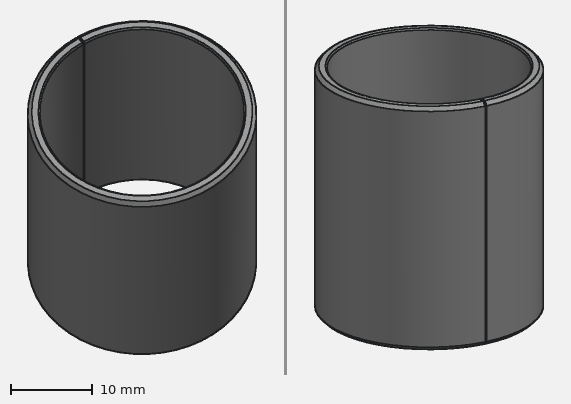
import cadquery as cq

outer_diameter = 28.0
wall_thickness = 1.5
length = 32.0
outer_chamfer = 0.5
inner_chamfer = 0.2
seam_angle = 1.0

outer_radius = outer_diameter / 2
inner_radius = outer_radius - wall_thickness
half_length = length / 2
rolled_angle = 360.0 - seam_angle


def wall_section():
    """Wall section on the -X side, chamfered at all four end corners."""
    outer_corner_z = half_length - outer_chamfer
    inner_corner_z = half_length - inner_chamfer
    end_face_outer_radius = outer_radius - outer_chamfer
    end_face_inner_radius = inner_radius + inner_chamfer
    corners = [
        (-inner_radius, -inner_corner_z),
        (-end_face_inner_radius, -half_length),
        (-end_face_outer_radius, -half_length),
        (-outer_radius, -outer_corner_z),
        (-outer_radius, outer_corner_z),
        (-end_face_outer_radius, half_length),
        (-end_face_inner_radius, half_length),
        (-inner_radius, inner_corner_z),
    ]
    return cq.Workplane("XZ").polyline(corners).close()


def make_bushing():
    """Roll the section counter-clockwise about +Z, leaving the seam open beside the -X axis."""
    return wall_section().revolve(rolled_angle, (0, 0, 0), (0, 1, 0))


result = make_bushing()